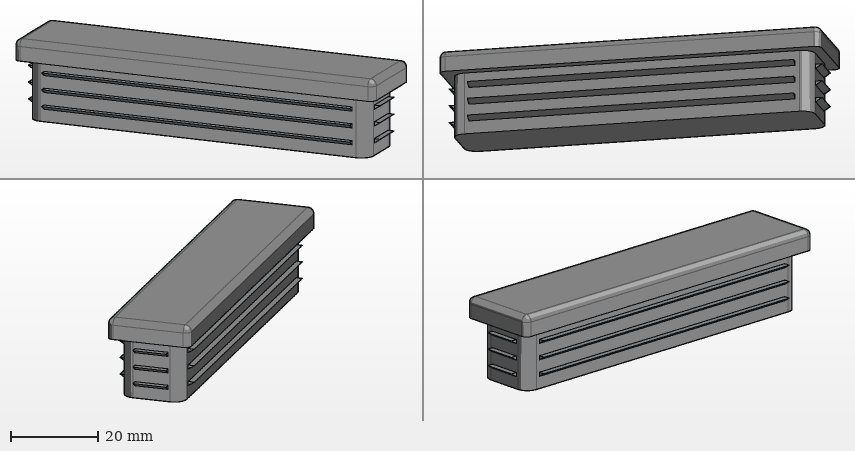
import cadquery as cq

cap_length = 90.0
cap_width = 20.0
cap_height = 5.0
cap_radius = 1.5

total_height = 19.5
cap_overhang = 2.5
plug_length = cap_length - 2 * cap_overhang
plug_width = cap_width - 2 * cap_overhang
plug_height = total_height - cap_height
plug_corner_radius = 3.0

barb_reach = 1.5
barb_height = 1.0
barb_rows = 3
barb_pitch = 4.0
barb_first_drop = 2.5
long_barb_end_gap = 1.0
short_barb_end_gap = 0.5
barb_root = 0.5


def make_plug():
    """Rounded block standing on Z = 0."""
    block = cq.Workplane("XY").box(plug_length, plug_width, plug_height, centered=(True, True, False))
    return block.edges("|Z").fillet(plug_corner_radius)


def make_cap():
    """Plate on top of the plug, rounded on every edge but the underside ones."""
    plate = (
        cq.Workplane("XY")
        .workplane(offset=plug_height)
        .box(cap_length, cap_width, cap_height, centered=(True, True, False))
    )
    return plate.edges("|Z or >Z").fillet(cap_radius)


def make_barb(face_distance, face_width, end_gap, top_z):
    """Flat-topped wedge on the -Y side, on a flat lying face_distance from the Z axis."""
    barb_length = face_width - 2 * (plug_corner_radius + end_gap)
    root = face_distance - barb_root
    tip = face_distance + barb_reach
    outline = [
        (-root, top_z),
        (-tip, top_z),
        (-face_distance, top_z - barb_height),
        (-root, top_z - barb_height),
    ]
    return cq.Workplane("YZ").polyline(outline).close().extrude(barb_length / 2, both=True)


def add_barbs(body):
    """Rows of barbs on all four flats of the plug."""
    for row in range(barb_rows):
        top_z = plug_height - barb_first_drop - row * barb_pitch
        long_barb = make_barb(plug_width / 2, plug_length, long_barb_end_gap, top_z)
        short_barb = make_barb(plug_length / 2, plug_width, short_barb_end_gap, top_z)
        for half_turn in (0, 180):
            body = body.union(long_barb.rotate((0, 0, 0), (0, 0, 1), half_turn))
            body = body.union(short_barb.rotate((0, 0, 0), (0, 0, 1), half_turn + 90))
    return body


result = add_barbs(make_plug().union(make_cap()))